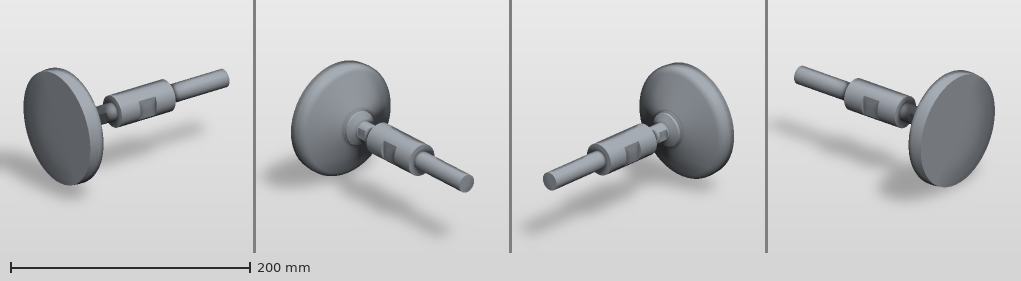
import cadquery as cq
import math


base_radius = 50.0
sole_radius = 49.3
rim_bottom_y = 6.1
rim_top_y = 9.2
shoulder_radius = 7.1
cone_angle = 21.2
cone_top_radius = 15.6
neck_radius = 14.3
neck_top_y = 28.5

lip_radius = 15.1
lip_top_y = 29.2
collar_radius = 14.8
collar_edge_y = 31.1
collar_round = 0.7
collar_top_y = 35.4

rod_radius = 16.0 / 2
rod_end_y = 170.0
rod_flat_width = 13.0
rod_flat_start_y = 36.9
rod_flat_end_y = 46.0

sleeve_radius = 28.0 / 2
sleeve_start_y = 56.5
sleeve_end_y = 111.2
sleeve_flat_width = 22.1
sleeve_flat_length = 17.0
sleeve_middle_y = (sleeve_start_y + sleeve_end_y) / 2


def revolve_about_y(outline):
    return outline.close().revolve(360, (0, 0, 0), (0, 1, 0))


def cut_flats(body, radius, width, start_y, end_y):
    """Cut two opposite wrench flats, facing -X and +X, into a round body."""
    depth = radius - width / 2
    length = end_y - start_y
    for side in (-1, 1):
        cutter = cq.Workplane("XY").box(depth, length, 2 * radius)
        body = body.cut(cutter.translate((side * (width + depth) / 2, (start_y + end_y) / 2, 0)))
    return body


def make_base():
    """Round plate with a tapered rim, a rounded shoulder and a conical top."""
    slope = math.radians(cone_angle)
    center_x = base_radius - shoulder_radius

    def shoulder_point(angle):
        return (
            center_x + shoulder_radius * math.cos(angle),
            rim_top_y + shoulder_radius * math.sin(angle),
        )

    arc_end_angle = math.pi / 2 - slope
    cone_start = shoulder_point(arc_end_angle)
    cone_top_y = cone_start[1] + (cone_start[0] - cone_top_radius) * math.tan(slope)
    outline = (
        cq.Workplane("XY")
        .lineTo(sole_radius, 0)
        .lineTo(base_radius, rim_bottom_y)
        .lineTo(base_radius, rim_top_y)
        .threePointArc(shoulder_point(arc_end_angle / 2), cone_start)
        .lineTo(cone_top_radius, cone_top_y)
        .lineTo(neck_radius, neck_top_y)
        .lineTo(0, neck_top_y)
    )
    return revolve_about_y(outline)


def make_stem():
    """Conical collar on top of the base, and the rod that rises from it."""
    round_start = (collar_radius, collar_edge_y)
    round_end = (collar_radius - collar_round, collar_edge_y + collar_round)
    outline = (
        cq.Workplane("XY")
        .moveTo(0, neck_top_y)
        .lineTo(neck_radius, neck_top_y)
        .lineTo(lip_radius, lip_top_y)
        .lineTo(collar_radius, lip_top_y)
        .lineTo(*round_start)
        .tangentArcPoint(round_end, relative=False)
        .lineTo(rod_radius, collar_top_y)
        .lineTo(rod_radius, rod_end_y)
        .lineTo(0, rod_end_y)
    )
    stem = revolve_about_y(outline)
    return cut_flats(stem, rod_radius, rod_flat_width, rod_flat_start_y, rod_flat_end_y)


def make_foot():
    """One solid: the base with its collar and rod."""
    return make_base().union(make_stem())


def make_sleeve():
    """Plain sleeve bored to fit the rod, with two wrench flats at mid-length."""
    outline = (
        cq.Workplane("XY")
        .moveTo(rod_radius, sleeve_start_y)
        .lineTo(sleeve_radius, sleeve_start_y)
        .lineTo(sleeve_radius, sleeve_end_y)
        .lineTo(rod_radius, sleeve_end_y)
    )
    return cut_flats(
        revolve_about_y(outline),
        sleeve_radius,
        sleeve_flat_width,
        sleeve_middle_y - sleeve_flat_length / 2,
        sleeve_middle_y + sleeve_flat_length / 2,
    )


foot = make_foot()
sleeve = make_sleeve()
result = cq.Compound.makeCompound([foot.val(), sleeve.val()])